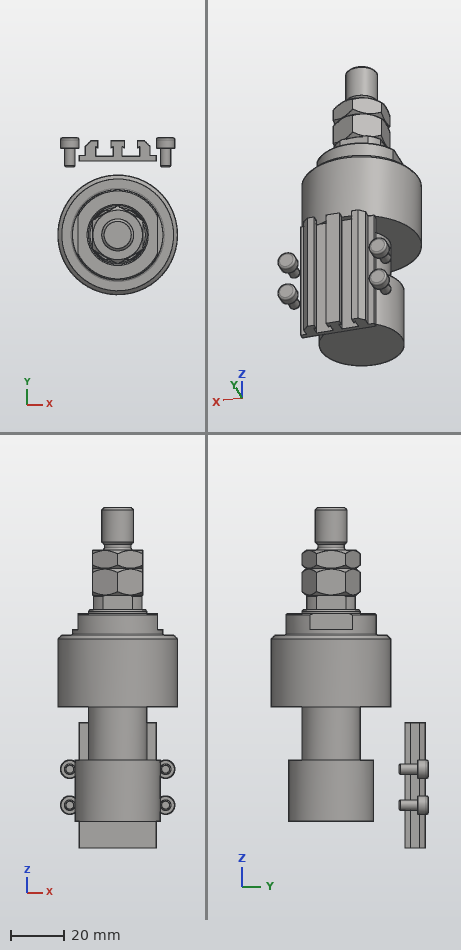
import cadquery as cq
import math

foot_diameter = 32.0
foot_height = 23.0
shaft_diameter = 22.0
shaft_height = 20.0
drum_diameter = 45.0
drum_height = 27.0
drum_chamfer = 1.5
cap_diameter = 34.0
cap_height = 8.0
cap_chamfer = 0.5
cap_fillet = 0.5
cap_flat_width = 30.0
cap_flat_height = 6.0
lip_diameter = 22.0
lip_height = 1.5
lip_chamfer = 0.6
lip_groove = 0.5
square_width = 18.3
square_corner_diameter = 21.4
square_height = 5.4
square_chamfer = 0.4

drum_bottom = foot_height + shaft_height
drum_top = drum_bottom + drum_height
cap_top = drum_top + cap_height
lip_top = cap_top + lip_height
square_top = lip_top + square_height

hexagon_width = 19.0
hexagon_face_diameter = 18.6
hexagon_chamfer_slope = math.tan(math.radians(40))
nut_height = 10.0
stud_hexagon_height = 7.0
thread_diameter = 12.0
thread_chamfer = 0.9
stud_top = 117.9
relief_diameter = 10.0
relief_height = 3.0
relief_depth = (thread_diameter - relief_diameter) / 2

nut_top = square_top + nut_height
stud_hexagon_top = nut_top + stud_hexagon_height

rail_width = 29.0
rail_depth = 7.7
rail_length = 47.1
rail_bottom = -10.0
rail_back = 35.4
rail_front = rail_back - rail_depth
rail_plate = 2.2
rail_rib_half = 12.2
rail_rib_chamfer = 2.2
slot_floor = 1.9
slot_inner = 1.7
slot_outer = 8.2
mouth_inner = 2.6
mouth_outer = 7.4
lip_root_depth = 2.3
lip_tip_depth = 2.8

head_diameter = 7.0
head_height = 4.0
head_fillet = 0.8
head_chamfer = 0.2
screw_diameter = 4.0
screw_length = 7.0
screw_tip_chamfer = 0.5
screw_back = 36.5
screw_x = 18.0
screw_spacing = 13.5
screw_first_row = 6.1
screw_rows = (screw_first_row, screw_first_row + screw_spacing)


def cylinder(diameter, bottom, top):
    return cq.Workplane("XY").workplane(offset=bottom).circle(diameter / 2).extrude(top - bottom)


def revolve_about_z(profile):
    return profile.revolve(360, (0, 0, 0), (0, 1, 0))


def make_cap():
    cap = cylinder(cap_diameter, drum_top, cap_top).faces(">Z").chamfer(cap_chamfer)
    flat_bottom = cap_top - cap_flat_height
    outside = cylinder(2 * cap_diameter, flat_bottom, cap_top)
    between_flats = cq.Workplane("XY").workplane(offset=flat_bottom)
    between_flats = between_flats.rect(cap_flat_width, 2 * cap_diameter).extrude(cap_flat_height)
    return cap.cut(outside.cut(between_flats))


def make_cap_fillet():
    cap_radius = cap_diameter / 2
    arc_middle = cap_fillet * (1 - math.sqrt(0.5))
    profile = (
        cq.Workplane("XZ")
        .moveTo(0, drum_top)
        .lineTo(cap_radius + cap_fillet, drum_top)
        .threePointArc(
            (cap_radius + arc_middle, drum_top + arc_middle),
            (cap_radius, drum_top + cap_fillet),
        )
        .lineTo(0, drum_top + cap_fillet)
        .close()
    )
    return revolve_about_z(profile)


def make_lip_groove():
    lip_radius = lip_diameter / 2
    profile = cq.Workplane("XZ").polyline([
        (lip_radius, cap_top - lip_groove),
        (lip_radius + lip_groove, cap_top),
        (lip_radius, cap_top),
    ]).close()
    return revolve_about_z(profile)


def make_square():
    corners = cylinder(square_corner_diameter, lip_top, square_top).faces(">Z").chamfer(square_chamfer)
    flats = cq.Workplane("XY").workplane(offset=lip_top).rect(square_width, square_width)
    return corners.intersect(flats.extrude(square_height))


def make_coupling():
    coupling = cylinder(foot_diameter, 0, foot_height)
    coupling = coupling.union(cylinder(shaft_diameter, foot_height, drum_bottom))
    drum = cylinder(drum_diameter, drum_bottom, drum_top).faces(">Z").chamfer(drum_chamfer)
    coupling = coupling.union(drum).union(make_cap()).union(make_cap_fillet())
    lip = cylinder(lip_diameter, cap_top, lip_top).faces(">Z").chamfer(lip_chamfer)
    return coupling.union(lip).cut(make_lip_groove()).union(make_square())


def make_hexagon(bottom, height):
    """Hexagon with both faces coned off at the corners; two corners lie on the Y axis."""
    corner_radius = hexagon_width / math.sqrt(3)
    face_radius = hexagon_face_diameter / 2
    cone_height = (corner_radius - face_radius) * hexagon_chamfer_slope
    prism = cq.Workplane("XY").polygon(6, 2 * corner_radius).extrude(height)
    prism = prism.rotate((0, 0, 0), (0, 0, 1), 90)
    envelope = cq.Workplane("XZ").polyline([
        (0, 0),
        (face_radius, 0),
        (corner_radius, cone_height),
        (corner_radius, height - cone_height),
        (face_radius, height),
        (0, height),
    ]).close()
    return prism.intersect(revolve_about_z(envelope)).translate((0, 0, bottom))


def make_lock_nut():
    return make_hexagon(square_top, nut_height).cut(cylinder(thread_diameter, square_top, nut_top))


def make_upper_thread():
    """Threaded end whose relief groove runs into the hexagon with a fillet."""
    thread_radius = thread_diameter / 2
    relief_radius = relief_diameter / 2
    relief_top = stud_hexagon_top + relief_height
    arc_middle = relief_depth * (1 - math.sqrt(0.5))
    profile = (
        cq.Workplane("XZ")
        .moveTo(0, stud_hexagon_top)
        .lineTo(thread_radius, stud_hexagon_top)
        .threePointArc(
            (relief_radius + arc_middle, stud_hexagon_top + arc_middle),
            (relief_radius, stud_hexagon_top + relief_depth),
        )
        .lineTo(relief_radius, relief_top - relief_depth)
        .lineTo(thread_radius, relief_top)
        .lineTo(thread_radius, stud_top - thread_chamfer)
        .lineTo(thread_radius - thread_chamfer, stud_top)
        .lineTo(0, stud_top)
        .close()
    )
    return revolve_about_z(profile)


def make_stud():
    lower_thread = cylinder(thread_diameter, square_top, nut_top)
    stud = lower_thread.union(make_hexagon(nut_top, stud_hexagon_height))
    return stud.union(make_upper_thread())


def make_rail():
    plate = cq.Workplane("XY").rect(rail_width, rail_plate).extrude(rail_length)
    plate = plate.translate((0, rail_plate / 2, 0))
    ribs = cq.Workplane("XY").rect(2 * rail_rib_half, rail_depth).extrude(rail_length)
    ribs = ribs.translate((0, rail_depth / 2, 0))
    ribs = ribs.edges("|Z and >Y").chamfer(rail_rib_chamfer)
    rail = plate.union(ribs)
    lip_root = rail_depth - lip_root_depth
    lip_tip = rail_depth - lip_tip_depth
    for side in (-1, 1):
        slot = cq.Workplane("XY").polyline([
            (side * slot_inner, slot_floor),
            (side * slot_outer, slot_floor),
            (side * slot_outer, lip_root),
            (side * mouth_outer, lip_tip),
            (side * mouth_outer, rail_depth),
            (side * mouth_inner, rail_depth),
            (side * mouth_inner, lip_tip),
            (side * slot_inner, lip_root),
        ]).close().extrude(rail_length)
        rail = rail.cut(slot)
    return rail.translate((0, rail_front, rail_bottom))


def make_screw(x, z):
    seat = screw_back - head_height
    head = cq.Workplane("XZ", origin=(x, screw_back, z)).circle(head_diameter / 2).extrude(head_height)
    head = head.faces(">Y").edges().fillet(head_fillet)
    head = head.faces("<Y").chamfer(head_chamfer)
    shank = cq.Workplane("XZ", origin=(x, seat, z)).circle(screw_diameter / 2).extrude(screw_length)
    shank = shank.faces("<Y").chamfer(screw_tip_chamfer)
    return head.union(shank)


coupling = make_coupling()
lock_nut = make_lock_nut()
stud = make_stud()
rail = make_rail()
screws = [make_screw(side * screw_x, z).val() for side in (-1, 1) for z in screw_rows]

result = cq.Compound.makeCompound([coupling.val(), lock_nut.val(), stud.val(), rail.val(), *screws])